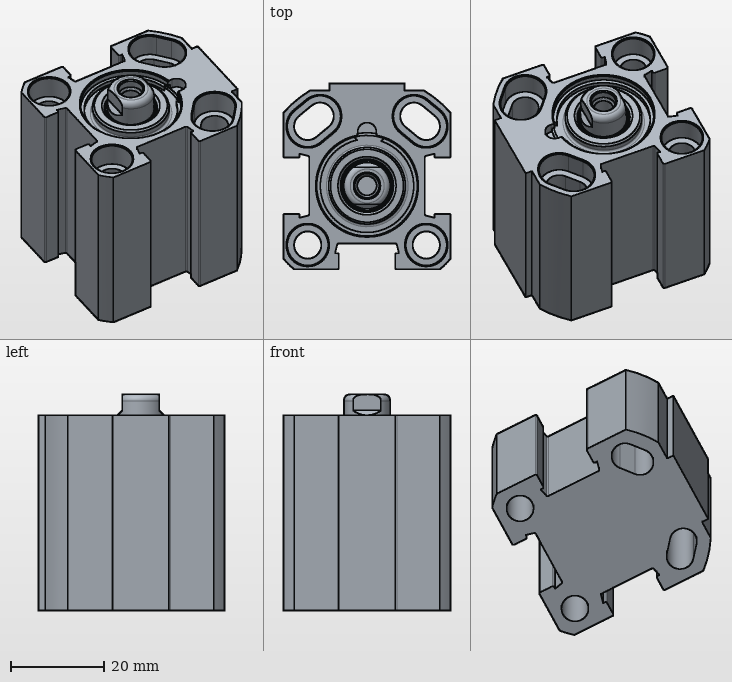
import cadquery as cq
import math


TOTAL_HEIGHT = 46.5
BODY_HEIGHT = 42.0
BODY_HALF = 18.0
CORNER_RADIUS = 23.85
SHOULDER_Y = 20.5
PAD_Y = 22.0
PAD_HALF_WIDTH = 8.1

SLOT_MOUTH_HALF = 6.05
SLOT_LIP_HALF = 6.85
SLOT_FLOOR_HALF = 6.32
SLOT_LIP_AT = 14.45
SLOT_FLOOR_AT = 12.4
SLOT_FILLET = 0.33

HOLE_PITCH_HALF = 12.75
HOLE_DIAMETER = 5.8
COUNTERBORE_DIAMETER = 8.8
COUNTERBORE_DEPTH = 5.5
COUNTERBORE_CHAMFER = 0.25
SLOTTED_HOLE_SWEEP = 11.0

MOUTH_DIAMETER = 21.6
MOUTH_CHAMFER = 0.25
GROOVE_DIAMETER = 22.8
GROOVE_DEPTH = 1.5
GROOVE_TOP = BODY_HEIGHT - GROOVE_DEPTH
RING_THICKNESS = 1.0
RING_INNER_DIAMETER = 20.1
RING_GAP_HALF = 2.6
RING_GAP_Y = 9.7
RING_TURN = -2.6
NOTCH_DIAMETER = 4.0
NOTCH_Y = 11.6
NOTCH_DEPTH = 2.4

COLLAR_TOP = GROOVE_TOP - RING_THICKNESS
COLLAR_LENGTH = 9.3
COLLAR_BOTTOM = COLLAR_TOP - COLLAR_LENGTH
BOSS_DIAMETER = 16.5
BOSS_RECESS = 0.45
BOSS_TOP = BODY_HEIGHT - BOSS_RECESS
BOSS_CHAMFER = 0.4
BOSS_FILLET = 0.5
COLLAR_BORE_DIAMETER = 11.4
COLLAR_BORE_CHAMFER = 0.55

SEAL_TOP = BOSS_TOP - COLLAR_BORE_CHAMFER
SEAL_HEIGHT = 2.8
SEAL_BOTTOM = SEAL_TOP - SEAL_HEIGHT
SEAL_LIP_OUTER = 11.15
SEAL_LIP_INNER = 10.7
SEAL_LIP_DEPTH = 0.45

ROD_DIAMETER = 10.0
ROD_FILLET = 1.35
FLATS_WIDTH = 8.0
FLATS_LENGTH = 3.5
SOCKET_DIAMETER = 5.25
SOCKET_DEPTH = 2.0
SOCKET_MOUTH_DIAMETER = 5.8
PILOT_DIAMETER = 4.15
THROAT_DIAMETER = 4.75
UPPER_CONE_DEPTH = 0.165
LOWER_CONE_DEPTH = 0.3
PILOT_DEPTH = 6.5


def cylinder(diameter, bottom, top):
    return cq.Workplane("XY").workplane(offset=bottom).circle(diameter / 2).extrude(top - bottom)


def cone(bottom_diameter, top_diameter, bottom, top):
    profile = [(0, bottom), (bottom_diameter / 2, bottom), (top_diameter / 2, top), (0, top)]
    return cq.Workplane("XZ").polyline(profile).close().revolve(360, (0, 0, 0), (0, 1, 0))


def body_blank():
    """Rectangular profile with arc-trimmed corners and the port pad on the +Y side."""
    block = (
        cq.Workplane("XY")
        .center(0, (SHOULDER_Y - BODY_HALF) / 2)
        .rect(2 * BODY_HALF, SHOULDER_Y + BODY_HALF)
        .extrude(BODY_HEIGHT)
    )
    trimmed = block.intersect(cylinder(2 * CORNER_RADIUS, 0, BODY_HEIGHT))
    pad = cq.Workplane("XY").rect(2 * PAD_HALF_WIDTH, PAD_Y, centered=(True, False)).extrude(BODY_HEIGHT)
    return trimmed.union(pad)


def sensor_slot():
    """Undercut slot through the -Y side over the full height, rounded except behind the lip."""
    mouth = (SLOT_MOUTH_HALF, -BODY_HALF)
    lip = (SLOT_MOUTH_HALF, -SLOT_LIP_AT)
    undercut = (SLOT_LIP_HALF, -SLOT_LIP_AT)
    floor = (SLOT_FLOOR_HALF, -SLOT_FLOOR_AT)
    strip_inner = (SLOT_MOUTH_HALF + 2 * SLOT_FILLET, -BODY_HALF)
    strip_outer = (SLOT_MOUTH_HALF + 2 * SLOT_FILLET, -BODY_HALF - SLOT_FILLET)
    half = [strip_outer, strip_inner, mouth, lip, undercut, floor]
    mirrored = [(-x, y) for x, y in reversed(half)]
    slot = cq.Workplane("XY").polyline(half + mirrored).close().extrude(BODY_HEIGHT)
    for x, y in (mouth, lip, floor):
        for side in (-1, 1):
            corner = cq.selectors.NearestToPointSelector((side * x, y, BODY_HEIGHT / 2))
            slot = slot.edges("|Z").edges(corner).fillet(SLOT_FILLET)
    return slot


def slotted_prism(side, diameter, bottom, top, taper=0):
    """Straight slot at a +Y corner; side is +1 or -1 along X, a negative taper widens it upward."""
    reach = math.hypot(HOLE_PITCH_HALF, HOLE_PITCH_HALF)
    inner_angle = math.radians(45 + SLOTTED_HOLE_SWEEP)
    start = cq.Vector(side * HOLE_PITCH_HALF, HOLE_PITCH_HALF)
    end = cq.Vector(side * reach * math.cos(inner_angle), reach * math.sin(inner_angle))
    along = end - start
    middle = (start + end) * 0.5
    return (
        cq.Workplane("XY")
        .workplane(offset=bottom)
        .center(middle.x, middle.y)
        .slot2D(along.Length + diameter, diameter, math.degrees(math.atan2(along.y, along.x)))
        .extrude(top - bottom, taper=taper)
    )


def slotted_hole(side):
    floor = BODY_HEIGHT - COUNTERBORE_DEPTH
    chamfer_start = BODY_HEIGHT - COUNTERBORE_CHAMFER
    return (
        slotted_prism(side, HOLE_DIAMETER, 0, BODY_HEIGHT)
        .union(slotted_prism(side, COUNTERBORE_DIAMETER, floor, BODY_HEIGHT))
        .union(slotted_prism(side, COUNTERBORE_DIAMETER, chamfer_start, BODY_HEIGHT, taper=-45))
    )


def round_hole(side):
    floor = BODY_HEIGHT - COUNTERBORE_DEPTH
    mouth = cone(
        COUNTERBORE_DIAMETER, COUNTERBORE_DIAMETER + 2 * COUNTERBORE_CHAMFER,
        BODY_HEIGHT - COUNTERBORE_CHAMFER, BODY_HEIGHT,
    )
    hole = (
        cylinder(HOLE_DIAMETER, 0, BODY_HEIGHT)
        .union(cylinder(COUNTERBORE_DIAMETER, floor, BODY_HEIGHT))
        .union(mouth)
    )
    return hole.translate((side * HOLE_PITCH_HALF, -HOLE_PITCH_HALF, 0))


def removal_notch():
    floor = BODY_HEIGHT - NOTCH_DEPTH
    round_end = cylinder(NOTCH_DIAMETER, floor, BODY_HEIGHT).translate((0, NOTCH_Y, 0))
    opening = (
        cq.Workplane("XY")
        .workplane(offset=floor)
        .rect(NOTCH_DIAMETER, NOTCH_Y, centered=(True, False))
        .extrude(NOTCH_DEPTH)
    )
    return round_end.union(opening)


def make_housing():
    housing = body_blank()
    for angle in (0, 90, -90):
        housing = housing.cut(sensor_slot().rotate((0, 0, 0), (0, 0, 1), angle))
    for side in (-1, 1):
        housing = housing.cut(slotted_hole(side)).cut(round_hole(side))
    mouth_cone = cone(
        MOUTH_DIAMETER, MOUTH_DIAMETER + 2 * MOUTH_CHAMFER, BODY_HEIGHT - MOUTH_CHAMFER, BODY_HEIGHT
    )
    return (
        housing.cut(cylinder(MOUTH_DIAMETER, COLLAR_BOTTOM, BODY_HEIGHT))
        .cut(cylinder(GROOVE_DIAMETER, COLLAR_TOP, GROOVE_TOP))
        .cut(mouth_cone)
        .cut(removal_notch())
    )


def make_retaining_ring():
    ring = cylinder(GROOVE_DIAMETER, COLLAR_TOP, GROOVE_TOP)
    ring = ring.cut(cylinder(RING_INNER_DIAMETER, COLLAR_TOP, GROOVE_TOP))
    apex_y = RING_GAP_Y - RING_GAP_HALF
    gap_reach = GROOVE_DIAMETER / 2
    gap = (
        cq.Workplane("XY")
        .workplane(offset=COLLAR_TOP)
        .polyline([(0, apex_y), (gap_reach, apex_y + gap_reach), (-gap_reach, apex_y + gap_reach)])
        .close()
        .extrude(RING_THICKNESS)
    )
    return ring.cut(gap.rotate((0, 0, 0), (0, 0, 1), RING_TURN))


def make_collar():
    boss = cylinder(BOSS_DIAMETER, COLLAR_BOTTOM, BOSS_TOP).faces(">Z").chamfer(BOSS_CHAMFER)
    collar = cylinder(MOUTH_DIAMETER, COLLAR_BOTTOM, COLLAR_TOP).union(boss)
    boss_foot = cq.selectors.NearestToPointSelector((0, 0, COLLAR_TOP))
    collar = collar.edges(cq.selectors.RadiusNthSelector(1)).edges(boss_foot).fillet(BOSS_FILLET)
    bore_cone = cone(
        COLLAR_BORE_DIAMETER, COLLAR_BORE_DIAMETER + 2 * COLLAR_BORE_CHAMFER, SEAL_TOP, BOSS_TOP
    )
    return (
        collar.cut(cylinder(ROD_DIAMETER, COLLAR_BOTTOM, BOSS_TOP))
        .cut(cylinder(COLLAR_BORE_DIAMETER, SEAL_BOTTOM, SEAL_TOP))
        .cut(bore_cone)
    )


def make_seal():
    lip_cone = cone(SEAL_LIP_INNER, SEAL_LIP_OUTER, SEAL_TOP - SEAL_LIP_DEPTH, SEAL_TOP)
    return (
        cylinder(COLLAR_BORE_DIAMETER, SEAL_BOTTOM, SEAL_TOP)
        .cut(cylinder(ROD_DIAMETER, SEAL_BOTTOM, SEAL_TOP))
        .cut(lip_cone)
    )


def flat_cutter():
    """Wrench flat on the -Y side, running out along a 45 degree shoulder."""
    flat = FLATS_WIDTH / 2
    shoulder = TOTAL_HEIGHT - FLATS_LENGTH
    profile = [
        (-flat, TOTAL_HEIGHT), (-flat, shoulder),
        (-ROD_DIAMETER, shoulder - (ROD_DIAMETER - flat)), (-ROD_DIAMETER, TOTAL_HEIGHT),
    ]
    return cq.Workplane("YZ").polyline(profile).close().extrude(ROD_DIAMETER, both=True)


def make_rod():
    rod = cylinder(ROD_DIAMETER, COLLAR_BOTTOM, TOTAL_HEIGHT).faces(">Z").edges().fillet(ROD_FILLET)
    for angle in (0, 180):
        rod = rod.cut(flat_cutter().rotate((0, 0, 0), (0, 0, 1), angle))
    socket_floor = TOTAL_HEIGHT - SOCKET_DEPTH
    mouth_depth = (SOCKET_MOUTH_DIAMETER - SOCKET_DIAMETER) / 2
    throat = socket_floor - UPPER_CONE_DEPTH
    return (
        rod.cut(cone(SOCKET_DIAMETER, SOCKET_MOUTH_DIAMETER, TOTAL_HEIGHT - mouth_depth, TOTAL_HEIGHT))
        .cut(cylinder(SOCKET_DIAMETER, socket_floor, TOTAL_HEIGHT))
        .cut(cone(THROAT_DIAMETER, SOCKET_DIAMETER, throat, socket_floor))
        .cut(cone(PILOT_DIAMETER, THROAT_DIAMETER, throat - LOWER_CONE_DEPTH, throat))
        .cut(cylinder(PILOT_DIAMETER, TOTAL_HEIGHT - PILOT_DEPTH, TOTAL_HEIGHT))
    )


housing = make_housing()
retaining_ring = make_retaining_ring()
collar = make_collar()
seal = make_seal()
rod = make_rod()

result = cq.Compound.makeCompound(
    [housing.val(), retaining_ring.val(), collar.val(), seal.val(), rod.val()]
)